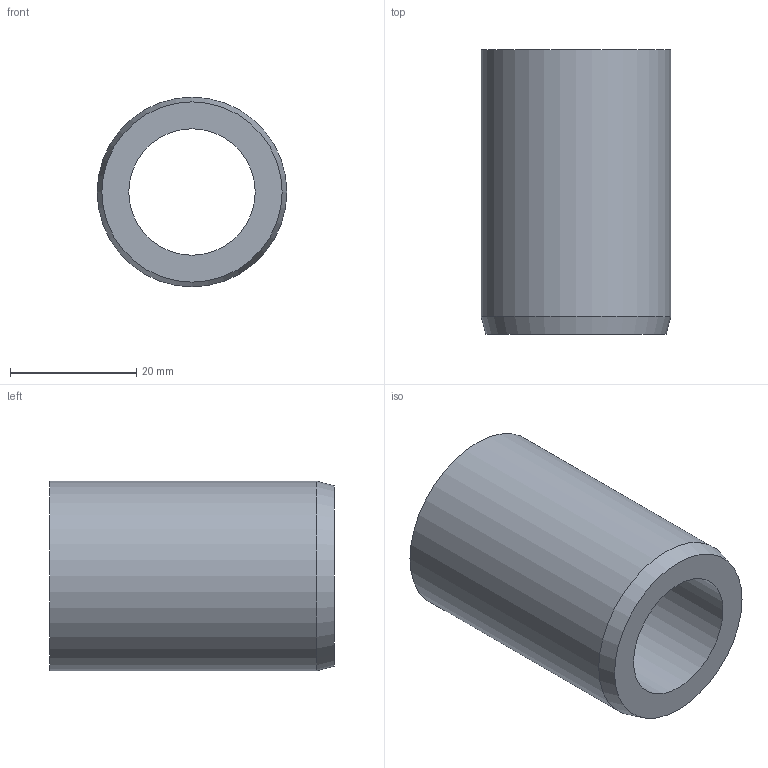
import cadquery as cq
import math

outer_diameter = 30.0
bore_diameter = 20.0
length = 45.0
taper_depth = 0.75
taper_angle = 15.0

outer_radius = outer_diameter / 2
bore_radius = bore_diameter / 2
taper_length = taper_depth / math.tan(math.radians(taper_angle))


def bushing():
    """Revolve the wall section (X = radius, Y = axial position) about the Y axis."""
    wall_section = (
        cq.Workplane("XY")
        .moveTo(bore_radius, 0)
        .lineTo(outer_radius - taper_depth, 0)
        .lineTo(outer_radius, taper_length)
        .lineTo(outer_radius, length)
        .lineTo(bore_radius, length)
        .close()
    )
    return wall_section.revolve(360, (0, 0, 0), (0, 1, 0))


result = bushing()